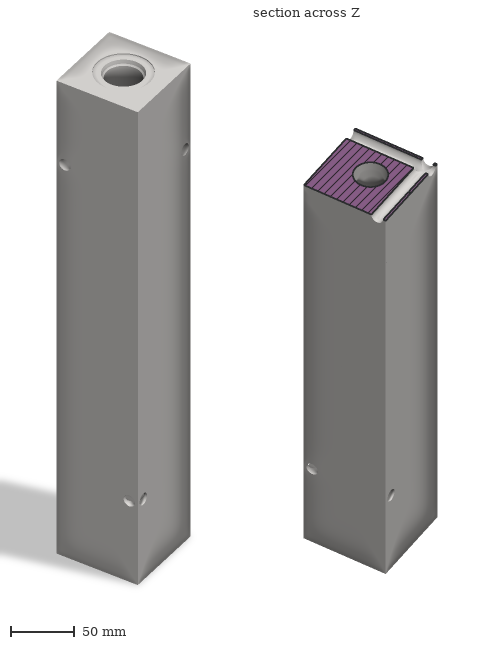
import cadquery as cq
import math

bar_side = 76.2
bar_length = 463.55

bore_diameter = 27.5
thread_hole_diameter = 31.2
thread_hole_depth = 30.0
thread_lead_in_angle = 45.0
bore_entry_angle = 45.0
seal_cone_top_diameter = 35.5
seal_cone_depth = 3.3
seal_cone_angle = 15.0
spot_face_diameter = 49.2
spot_face_depth = 1.0

cross_hole_diameter = 10.7
cross_hole_spacing = 304.8
cross_hole_edge_distance = 7.94

cross_hole_offset = bar_side / 2 - cross_hole_edge_distance
lower_hole_height = (bar_length - cross_hole_spacing) / 2
upper_hole_height = lower_hole_height + cross_hole_spacing


def make_bar():
    return cq.Workplane("XY").box(bar_side, bar_side, bar_length, centered=(True, True, False))


def cone_height(large_radius, small_radius, half_angle):
    """Axial length of a cone between two radii, its side sloping half_angle degrees off the axis."""
    return (large_radius - small_radius) / math.tan(math.radians(half_angle))


def make_bore_and_port():
    """Through bore, threaded hole at its minor diameter, seal cone and spot face, all on the Z axis."""
    bore_radius = bore_diameter / 2
    thread_radius = thread_hole_diameter / 2
    cone_top_radius = seal_cone_top_diameter / 2
    cone_bottom_radius = cone_top_radius - seal_cone_depth * math.tan(math.radians(seal_cone_angle))
    spot_face_radius = spot_face_diameter / 2

    spot_face_z = bar_length - spot_face_depth
    cone_bottom_z = spot_face_z - seal_cone_depth
    thread_top_z = cone_bottom_z - cone_height(cone_bottom_radius, thread_radius, thread_lead_in_angle)
    thread_bottom_z = spot_face_z - thread_hole_depth
    bore_top_z = thread_bottom_z - cone_height(thread_radius, bore_radius, bore_entry_angle)

    profile = (
        cq.Workplane("XZ")
        .lineTo(bore_radius, 0)
        .lineTo(bore_radius, bore_top_z)
        .lineTo(thread_radius, thread_bottom_z)
        .lineTo(thread_radius, thread_top_z)
        .lineTo(cone_bottom_radius, cone_bottom_z)
        .lineTo(cone_top_radius, spot_face_z)
        .lineTo(spot_face_radius, spot_face_z)
        .lineTo(spot_face_radius, bar_length)
        .lineTo(0, bar_length)
        .close()
    )
    return profile.revolve(360, (0, 0, 0), (0, 1, 0))


def drill_across(start, direction):
    """Round hole right across the bar, from a point on one of its sides."""
    return cq.Solid.makeCylinder(
        cross_hole_diameter / 2, bar_side, cq.Vector(*start), cq.Vector(*direction)
    )


def cut_cross_holes(bar):
    """At each height, one hole along Y and one along X cross near the same edge of the bar."""
    near_side = -bar_side / 2
    for x, y, height in (
        (-cross_hole_offset, cross_hole_offset, upper_hole_height),
        (cross_hole_offset, -cross_hole_offset, lower_hole_height),
    ):
        bar = bar.cut(drill_across((x, near_side, height), (0, 1, 0)))
        bar = bar.cut(drill_across((near_side, y, height), (1, 0, 0)))
    return bar


result = cut_cross_holes(make_bar().cut(make_bore_and_port()))